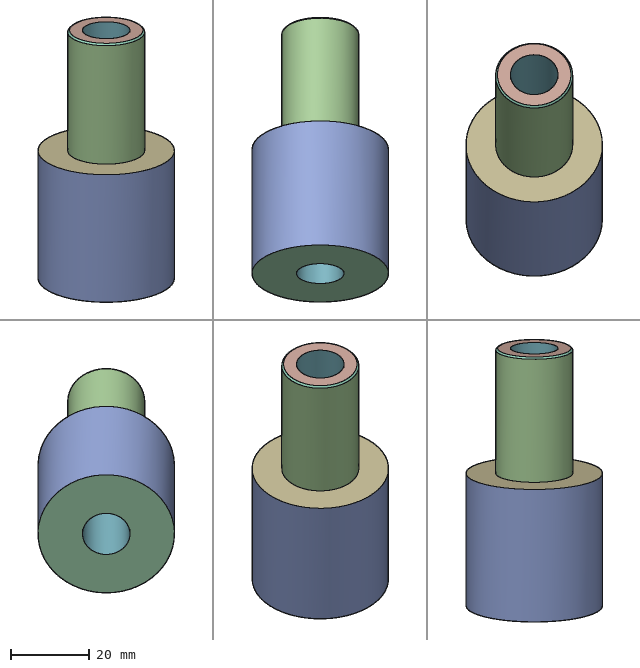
import cadquery as cq

total_height = 68.0
body_diameter = 35.0
body_height = 35.0
spigot_diameter = 19.8
bore_diameter = 12.2
tip_chamfer = 0.5

spigot_height = total_height - body_height

body = cq.Workplane("XY").circle(body_diameter / 2).extrude(body_height)

spigot = (
    cq.Workplane("XY")
    .workplane(offset=body_height)
    .circle(spigot_diameter / 2)
    .extrude(spigot_height)
    .faces(">Z")
    .chamfer(tip_chamfer)
)

bore = cq.Workplane("XY").circle(bore_diameter / 2).extrude(total_height)

result = body.union(spigot).cut(bore)